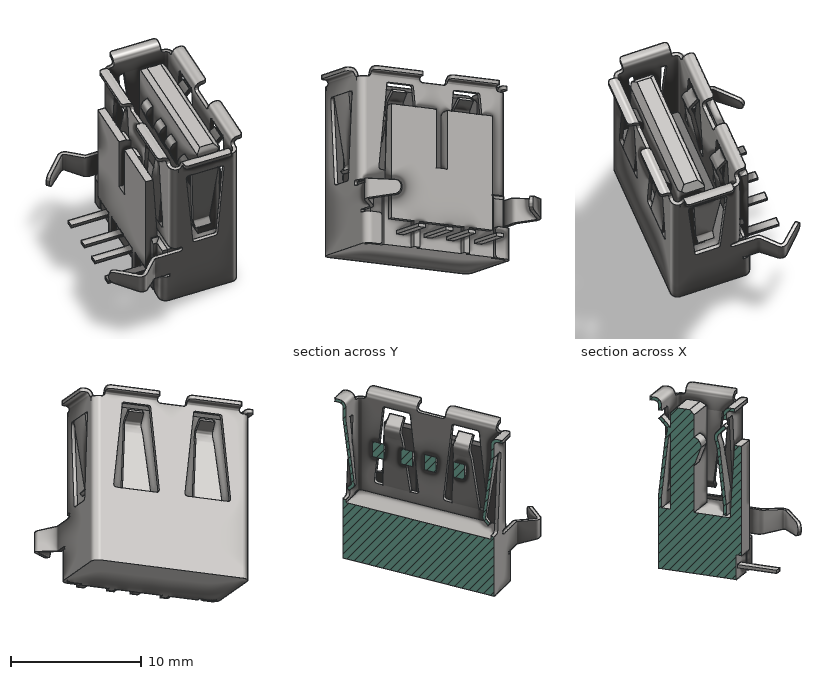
import cadquery as cq
import math

TOTAL_WIDTH = 15.6
SHEET = 0.3
BEND_INNER = 0.31
BEND_OUTER = BEND_INNER + SHEET

SHELL_HALF_X = 6.54
SHELL_HALF_Y = 2.85
SHELL_TOP = 13.26
INNER_HALF_X = SHELL_HALF_X - SHEET
INNER_HALF_Y = SHELL_HALF_Y - SHEET
FRONT_WALL_BOTTOM = 5.13
SKIRT_FRONT = -3.67
FLAP_TOP = 2.48
FLAP_INNER_X = 5.09
FLAP_CORNER = 0.28

FLANGE_TOP = 14.0
FLANGE_REACH = 0.7
FLANGE_CORNER = 0.28
RIM_FILLET = 0.28
LONG_FLANGE_INNER_X = 1.23
LONG_FLANGE_OUTER_X = 5.62
SIDE_FLANGE_HALF = 1.98

WINDOW_CORNER = 0.23
LONG_WINDOW_X = 2.98
LONG_WINDOW_BOTTOM = 6.04
LONG_WINDOW_TOP = 12.98
LONG_WINDOW_HALF_BOTTOM = 1.93
LONG_WINDOW_HALF_TOP = 1.17
LONG_SPRING_HALF_BOTTOM = 1.2
LONG_SPRING_HALF_TOP = 0.56
LONG_SPRING_DEPTH = 0.8
LONG_SPRING_KINK_DEPTH = 0.56
LONG_SPRING_KINK_Z = 10.76
LONG_SPRING_BEND_Z = 11.53
LONG_SPRING_TIP_Z = 12.3
SIDE_WINDOW_BOTTOM = 5.29
SIDE_WINDOW_TOP = 12.28
SIDE_WINDOW_HALF_BOTTOM = 1.03
SIDE_WINDOW_HALF_TOP = 1.6
SIDE_SPRING_HALF_BOTTOM = 0.58
SIDE_SPRING_HALF_TOP = 1.14
SIDE_SPRING_DEPTH = 0.73
SIDE_SPRING_BEND_Z = 6.74
SIDE_SPRING_TIP_Z = 6.33
LONG_SPRING_BEND = 0.4
SIDE_SPRING_BEND = 0.15
SPRING_FLARE = 45.0
SPRING_ANCHOR = 0.31

ARM_BOTTOM = 2.7
ARM_TOP = 4.73
ARM_START_Y = -4.12
ARM_TIP_Y = -7.86
ARM_TIP_HALF = 0.51
ARM_TIP_CORNER = 0.51
ARM_ELBOW_INNER = 0.25
ARM_ELBOW_Y = -5.74
SLOT_BACK_Y = -1.92
LOWER_SLOT_BACK_Y = -2.95
SLOT_END_ROUNDNESS = 0.95

BASE_TOP = 5.02
BASE_FRONT = -3.34
BASE_CHAMFER = 0.31
CENTRE_HALF_X = 4.91
CENTRE_FRONT = SKIRT_FRONT
TONGUE_HALF_X = 5.5
TONGUE_BACK = 1.87
TONGUE_FRONT = -0.15
TONGUE_TOP = 13.38
TONGUE_BACK_RADIUS = 0.62
TONGUE_BEVEL = 0.51
TONGUE_FRONT_BEVEL = 0.37

PLATE_HALF_X = 4.52
PLATE_FRONT = -4.12
PLATE_BACK = -3.14
PLATE_BACK_TOP = -3.5
PLATE_BOTTOM = 2.03
PLATE_TOP = 11.0
PLATE_SLOT_HALF = 0.5
PLATE_SLOT_BOTTOM = 6.4
PLATE_RIB_HALF = 1.59
PLATE_RIB_TOP = 10.78
FOOT_INNER_X = 1.98
FOOT_OUTER_X = 2.5

CONTACT_XS = (-3.5, -1.0, 1.0, 3.5)
CONTACT_WIDTH = 1.03
CONTACT_TOP = 11.19
CONTACT_RISE = 0.58
CONTACT_CREST_Z = 10.4
CONTACT_RADIUS = 0.75
CONTACT_BOTTOM = 8.85
PIN_WIDTH = 0.62
PIN_BOTTOM = 0.92
PIN_THICKNESS = 0.27
PIN_TIP_Y = -6.95


def block(x0, x1, y0, y1, z0, z1):
    return cq.Workplane("XY").box(x1 - x0, y1 - y0, z1 - z0, centered=False).translate((x0, y0, z0))


def both_sides(solid):
    """The solid together with its mirror image across X = 0."""
    return solid.union(solid.mirror("YZ"))


def offset_path(path, distance):
    """Open polyline moved sideways to its left, with mitred corners."""
    headings = [math.atan2(b[1] - a[1], b[0] - a[0]) for a, b in zip(path, path[1:])]
    moved = []
    for i, (u, v) in enumerate(path):
        before = headings[max(i - 1, 0)]
        after = headings[min(i, len(headings) - 1)]
        half_turn = (after - before) / 2
        normal = before + half_turn + math.pi / 2
        reach = distance / math.cos(half_turn)
        moved.append((u + reach * math.cos(normal), v + reach * math.sin(normal)))
    return moved


def draw_rounded(sketch, points, radii):
    """Continue a wire through the points, rounding each middle point with its radius."""
    for before, corner, after, radius in zip(points, points[1:], points[2:], radii):
        back = cq.Vector(*before, 0).sub(cq.Vector(*corner, 0)).normalized()
        ahead = cq.Vector(*after, 0).sub(cq.Vector(*corner, 0)).normalized()
        half_angle = back.getAngle(ahead) / 2
        tangent = radius / math.tan(half_angle)
        sagitta = radius / math.sin(half_angle) - radius
        vertex = cq.Vector(*corner, 0)
        start = vertex + back * tangent
        middle = vertex + (back + ahead).normalized() * sagitta
        end = vertex + ahead * tangent
        sketch = sketch.lineTo(start.x, start.y)
        sketch = sketch.threePointArc((middle.x, middle.y), (end.x, end.y))
    return sketch.lineTo(*points[-1])


def bent_sheet(plane, path, bend_inner, start, length):
    """Sheet lying left of the path, bent at its middle points, extruded along the plane normal."""
    far_side = offset_path(path, SHEET)
    near_radii = []
    far_radii = []
    for a, b, c in zip(path, path[1:], path[2:]):
        turns_left = (b[0] - a[0]) * (c[1] - b[1]) - (b[1] - a[1]) * (c[0] - b[0]) > 0
        near_radii.append(bend_inner + SHEET if turns_left else bend_inner)
        far_radii.append(bend_inner if turns_left else bend_inner + SHEET)
    sketch = draw_rounded(cq.Workplane(plane).moveTo(*path[0]), path, near_radii)
    sketch = sketch.lineTo(*far_side[-1])
    sketch = draw_rounded(sketch, far_side[::-1], far_radii[::-1])
    normal = cq.Plane.named(plane).zDir
    return sketch.close().extrude(length).translate(normal * start)


def trapezoid(plane, centre, bottom, top, half_bottom, half_top, half_length):
    """Prism through the wall, with the trapezoid's parallel sides level."""
    return (
        cq.Workplane(plane)
        .polyline([
            (centre - half_bottom, bottom),
            (centre + half_bottom, bottom),
            (centre + half_top, top),
            (centre - half_top, top),
        ])
        .close()
        .extrude(half_length, both=True)
    )


def make_walls():
    body = cq.Workplane("XY").rect(2 * SHELL_HALF_X, 2 * SHELL_HALF_Y).extrude(SHELL_TOP)
    bore = cq.Workplane("XY").rect(2 * INNER_HALF_X, 2 * INNER_HALF_Y).extrude(SHELL_TOP)
    upper = body.edges("|Z").fillet(BEND_OUTER).cut(bore.edges("|Z").fillet(BEND_INNER))
    upper = upper.cut(block(-SHELL_HALF_X, SHELL_HALF_X, -SHELL_HALF_Y, 0, 0, FRONT_WALL_BOTTOM))

    wrap_path = [(-SHELL_HALF_X, 0), (-SHELL_HALF_X, SKIRT_FRONT), (-FLAP_INNER_X, SKIRT_FRONT)]
    wrap = bent_sheet("XY", wrap_path, BEND_INNER, 0, FLAP_TOP)
    wrap = wrap.edges(">X and |Y").fillet(FLAP_CORNER)
    side = block(-SHELL_HALF_X, -INNER_HALF_X, ARM_START_Y, 0, ARM_BOTTOM, ARM_TOP)
    web = block(-SHELL_HALF_X, -INNER_HALF_X, LOWER_SLOT_BACK_Y, 0, 0, FRONT_WALL_BOTTOM)
    walls = upper.union(both_sides(wrap.union(side).union(web)))

    for back_y, bottom, top in (
        (SLOT_BACK_Y, ARM_TOP, FRONT_WALL_BOTTOM),
        (LOWER_SLOT_BACK_Y, FLAP_TOP, ARM_BOTTOM),
    ):
        radius = (top - bottom) / 2
        slot = block(-SHELL_HALF_X, -INNER_HALF_X, ARM_START_Y, back_y, bottom, top)
        slot = slot.edges(">Y and |X").fillet(SLOT_END_ROUNDNESS * radius)
        walls = walls.cut(both_sides(slot))
    return walls


def make_flange(wall_y, start, end):
    """Flange at the back of the shell between two X places, with fillets down to the wall top."""
    flat_z = FLANGE_TOP - SHEET
    path = [(wall_y, SHELL_TOP - SHEET), (wall_y, flat_z), (wall_y + FLANGE_REACH, flat_z)]
    wide_start = start - RIM_FILLET
    wide_end = end + RIM_FILLET
    lip = bent_sheet("YZ", path, BEND_INNER, wide_start, wide_end - wide_start)
    fillet_top = SHELL_TOP + RIM_FILLET
    outline = (
        cq.Workplane("XZ")
        .moveTo(wide_start, SHELL_TOP - SHEET)
        .lineTo(wide_start, SHELL_TOP)
        .radiusArc((start, fillet_top), -RIM_FILLET)
        .lineTo(start, FLANGE_TOP)
        .lineTo(end, FLANGE_TOP)
        .lineTo(end, fillet_top)
        .radiusArc((wide_end, SHELL_TOP), -RIM_FILLET)
        .lineTo(wide_end, SHELL_TOP - SHEET)
        .close()
        .extrude(-TOTAL_WIDTH)
    )
    return lip.intersect(outline).edges(">Y and |Z").fillet(FLANGE_CORNER)


def make_rim():
    back = both_sides(make_flange(SHELL_HALF_Y, LONG_FLANGE_INNER_X, LONG_FLANGE_OUTER_X))
    side = make_flange(SHELL_HALF_X, -SIDE_FLANGE_HALF, SIDE_FLANGE_HALF)
    side = side.rotate((0, 0, 0), (0, 0, 1), 90)
    return back.union(back.mirror("XZ")).union(both_sides(side))


def make_windows():
    long_window = trapezoid(
        "XZ", LONG_WINDOW_X, LONG_WINDOW_BOTTOM, LONG_WINDOW_TOP,
        LONG_WINDOW_HALF_BOTTOM, LONG_WINDOW_HALF_TOP, SHELL_HALF_Y,
    ).edges("|Y").fillet(WINDOW_CORNER)
    side_window = trapezoid(
        "YZ", 0, SIDE_WINDOW_BOTTOM, SIDE_WINDOW_TOP,
        SIDE_WINDOW_HALF_BOTTOM, SIDE_WINDOW_HALF_TOP, SHELL_HALF_X,
    ).edges("|X").fillet(WINDOW_CORNER)
    return both_sides(long_window).union(side_window)


def make_long_springs():
    """Springs rooted at the window bottoms of the front and back walls, with flared tips."""
    bend_y = -SHELL_HALF_Y + LONG_SPRING_DEPTH
    tip_y = bend_y - (LONG_SPRING_TIP_Z - LONG_SPRING_BEND_Z) * math.tan(math.radians(SPRING_FLARE))
    path = [
        (tip_y, LONG_SPRING_TIP_Z),
        (bend_y, LONG_SPRING_BEND_Z),
        (-SHELL_HALF_Y + LONG_SPRING_KINK_DEPTH, LONG_SPRING_KINK_Z),
        (-SHELL_HALF_Y, LONG_WINDOW_BOTTOM),
        (-SHELL_HALF_Y, LONG_WINDOW_BOTTOM - SPRING_ANCHOR),
    ]
    reach = LONG_WINDOW_HALF_BOTTOM
    strip = bent_sheet("YZ", path, LONG_SPRING_BEND, LONG_WINDOW_X - reach, 2 * reach)
    outline = trapezoid(
        "XZ", LONG_WINDOW_X, LONG_WINDOW_BOTTOM - SPRING_ANCHOR, LONG_WINDOW_TOP,
        LONG_SPRING_HALF_BOTTOM, LONG_SPRING_HALF_TOP, SHELL_HALF_Y,
    )
    front = both_sides(strip.intersect(outline))
    return front.union(front.mirror("XZ"))


def make_side_springs():
    """Springs rooted at the window tops of the side walls, with flared tips."""
    bend_x = -SHELL_HALF_X + SIDE_SPRING_DEPTH
    tip_x = bend_x - (SIDE_SPRING_BEND_Z - SIDE_SPRING_TIP_Z) * math.tan(math.radians(SPRING_FLARE))
    path = [
        (-SHELL_HALF_X, SIDE_WINDOW_TOP + SPRING_ANCHOR),
        (-SHELL_HALF_X, SIDE_WINDOW_TOP),
        (bend_x, SIDE_SPRING_BEND_Z),
        (tip_x, SIDE_SPRING_TIP_Z),
    ]
    reach = SIDE_WINDOW_HALF_TOP
    strip = bent_sheet("XZ", path, SIDE_SPRING_BEND, -reach, 2 * reach)
    outline = trapezoid(
        "YZ", 0, SIDE_WINDOW_BOTTOM, SIDE_WINDOW_TOP + SPRING_ANCHOR,
        SIDE_SPRING_HALF_BOTTOM, SIDE_SPRING_HALF_TOP, SHELL_HALF_X,
    )
    return both_sides(strip.intersect(outline))


def make_arms():
    """Arms that run forward from the side walls, bend out by 45 degrees and back in."""
    elbow_radius = ARM_ELBOW_INNER + SHEET
    elbow_x = -TOTAL_WIDTH / 2 - elbow_radius * (math.sqrt(2) - 1)
    knee_y = ARM_ELBOW_Y - elbow_x - SHELL_HALF_X
    path = [
        (-SHELL_HALF_X, ARM_START_Y + SHEET),
        (-SHELL_HALF_X, knee_y),
        (elbow_x, ARM_ELBOW_Y),
        (elbow_x + ARM_ELBOW_Y - ARM_TIP_Y, ARM_TIP_Y),
    ]
    height = ARM_TOP - ARM_BOTTOM
    middle = (ARM_TOP + ARM_BOTTOM) / 2
    arm = bent_sheet("XY", path, ARM_ELBOW_INNER, ARM_BOTTOM, height)
    outline = (
        cq.Workplane("YZ")
        .polyline([
            (0, ARM_BOTTOM),
            (ARM_START_Y, ARM_BOTTOM),
            (ARM_TIP_Y, middle - ARM_TIP_HALF),
            (ARM_TIP_Y, middle + ARM_TIP_HALF),
            (ARM_START_Y, ARM_TOP),
            (0, ARM_TOP),
        ])
        .close()
        .extrude(TOTAL_WIDTH / 2, both=True)
    )
    arm = arm.intersect(outline)
    return both_sides(arm.faces("<Y").edges("not |Z").fillet(ARM_TIP_CORNER))


def make_base():
    base = block(-INNER_HALF_X, INNER_HALF_X, BASE_FRONT, INNER_HALF_Y, 0, BASE_TOP)
    base = base.edges("|Z and >Y").fillet(BEND_INNER)
    base = base.edges("(|Z and <Y) or (|X and <Y and >Z)").chamfer(BASE_CHAMFER)
    centre = block(-CENTRE_HALF_X, CENTRE_HALF_X, CENTRE_FRONT, 0, 0, BASE_TOP)
    return base.union(centre.edges("|Y and >Z").chamfer(BASE_CHAMFER))


def make_tongue():
    tongue = block(-TONGUE_HALF_X, TONGUE_HALF_X, TONGUE_FRONT, TONGUE_BACK, 0, TONGUE_TOP)
    tongue = tongue.edges("|Z and >Y").fillet(TONGUE_BACK_RADIUS)
    bevelled = block(-TONGUE_HALF_X, TONGUE_HALF_X, TONGUE_FRONT, TONGUE_BACK, 0, TONGUE_TOP)
    bevelled = bevelled.edges(">Z and (<X or >X or >Y)").chamfer(TONGUE_BEVEL)
    bevelled = bevelled.faces(">Z").edges("<Y").chamfer(TONGUE_FRONT_BEVEL)
    return tongue.intersect(bevelled)


def make_plate():
    """Standing plate with a leaning back, a straight-backed rib, an open slot and two feet."""
    plate = (
        cq.Workplane("YZ")
        .polyline([
            (PLATE_FRONT, PLATE_BOTTOM),
            (CENTRE_FRONT, PLATE_BOTTOM),
            (PLATE_BACK, BASE_TOP),
            (PLATE_BACK_TOP, PLATE_TOP),
            (PLATE_FRONT, PLATE_TOP),
        ])
        .close()
        .extrude(PLATE_HALF_X, both=True)
    )
    rib = (
        cq.Workplane("YZ")
        .polyline([
            (PLATE_FRONT, PLATE_BOTTOM),
            (PLATE_BACK, PLATE_BOTTOM),
            (PLATE_BACK, PLATE_RIB_TOP),
            (PLATE_BACK_TOP, PLATE_TOP),
            (PLATE_FRONT, PLATE_TOP),
        ])
        .close()
        .extrude(PLATE_RIB_HALF, both=True)
    )
    slot = block(-PLATE_SLOT_HALF, PLATE_SLOT_HALF, PLATE_FRONT, PLATE_BACK, PLATE_SLOT_BOTTOM, PLATE_TOP)
    foot = block(FOOT_INNER_X, FOOT_OUTER_X, PLATE_FRONT, BASE_FRONT, 0, PLATE_BOTTOM)
    return plate.union(rib).cut(slot).union(both_sides(foot))


def make_contact(x):
    """Rounded contact face on the tongue and the straight solder pin below it."""
    crest_y = TONGUE_FRONT - CONTACT_RISE
    face = (
        cq.Workplane("YZ", origin=(x, 0, 0))
        .moveTo(TONGUE_FRONT, CONTACT_TOP)
        .radiusArc((crest_y, CONTACT_CREST_Z), -CONTACT_RADIUS)
        .lineTo(TONGUE_FRONT, CONTACT_BOTTOM)
        .close()
        .extrude(CONTACT_WIDTH / 2, both=True)
    )
    pin = block(
        x - PIN_WIDTH / 2, x + PIN_WIDTH / 2, PIN_TIP_Y, BASE_FRONT, PIN_BOTTOM, PIN_BOTTOM + PIN_THICKNESS
    )
    return face.union(pin)


shell = make_walls().cut(make_windows())
for feature in (make_rim(), make_long_springs(), make_side_springs(), make_arms()):
    shell = shell.union(feature)

housing = make_base().union(make_tongue()).union(make_plate())
for contact_x in CONTACT_XS:
    housing = housing.union(make_contact(contact_x))

result = shell.union(housing)